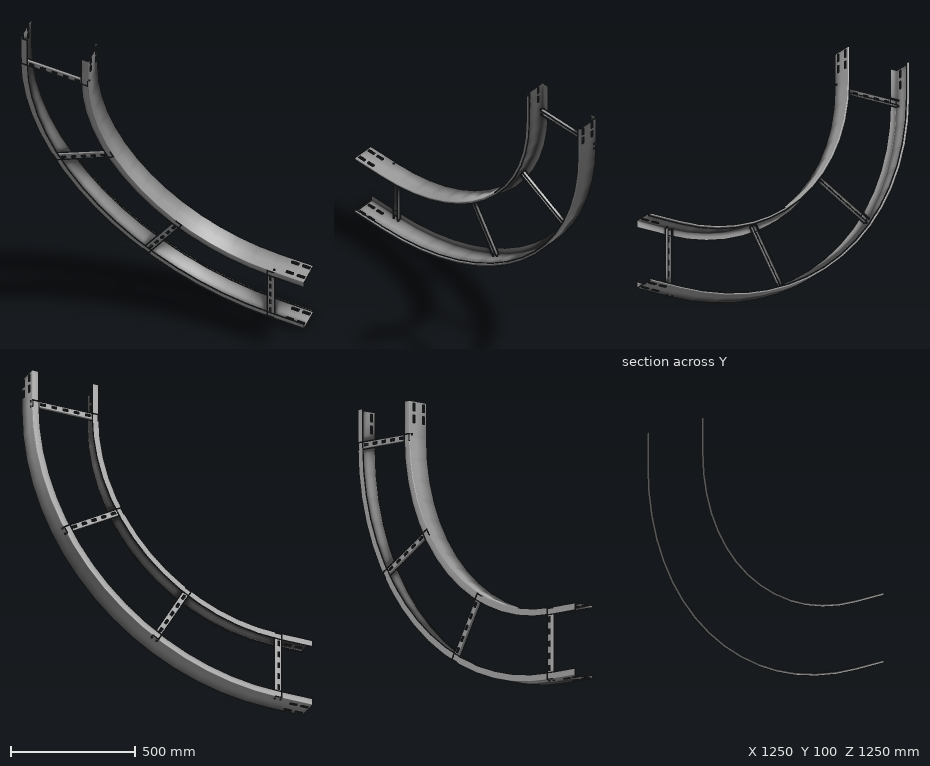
import cadquery as cq

OUTER_SIZE = 1250.0
TRAY_WIDTH = 300.0
RAIL_HEIGHT = 100.0
LEG_LENGTH = 150.0
SHEET = 1.5

FRONT_FLANGE = 31.0
REAR_FLANGE = 12.0
REAR_LIP = 10.0
RAIL_BEND = 4.0

SLOT_LENGTH = 30.0
SLOT_ENDS = (10.0, 59.0)
REAR_SLOT_WIDTH = 10.0
REAR_SLOT_INSET = 20.0
FRONT_SLOT_WIDTH = 9.0
FRONT_SLOT_INSET = 26.0

RUNG_COUNT = 4
RUNG_WIDTH = 30.0
RUNG_DEPTH = 15.0
RUNG_LIP = 6.0
RUNG_BEND = 2.0
RUNG_END_INSET = 5.0
RUNG_SLOT_COUNT = 5
RUNG_SLOT_PITCH = 50.0
RUNG_SLOT_LENGTH = 20.0
RUNG_SLOT_WIDTH = 8.0

HOLE_DIAMETER = 5.0
HOLE_SPACING = 25.0
HOLE_INSET = 14.0

BEND_CENTER = OUTER_SIZE - LEG_LENGTH
FRONT_Y = -RAIL_HEIGHT / 2
REAR_Y = RAIL_HEIGHT / 2
RUNG_FRONT_Y = FRONT_Y + SHEET
QUARTER_TURN = 90.0
AXIS_START = (BEND_CENTER, 0, BEND_CENTER)
AXIS_END = (BEND_CENTER, -12, BEND_CENTER)


def bent_sheet(outer_points, inner_points, bend):
    """Flat section of a bent sheet, from the corners along its outside and its inside."""
    outline = cq.Wire.makePolygon(
        [cq.Vector(*p) for p in outer_points + inner_points[::-1]], close=True
    )
    face = cq.Face.makeFromWires(outline)
    for corners, radius in ((outer_points, bend), (inner_points, bend - SHEET)):
        for corner in corners[1:-1]:
            at_corner = [
                v for v in face.Vertices() if (v.Center() - cq.Vector(*corner)).Length < SHEET / 4
            ]
            face = face.fillet2D(radius, at_corner)
    return face


def turned(shape, angle):
    return shape.rotate(AXIS_START, AXIS_END, angle)


def mirrored_leg(shape):
    """Swap X and Z, which carries the +Z leg onto the +X leg."""
    return shape.rotate((0, 0, 0), (1, 0, 1), 180).mirror("XZ")


def rail_section(web_x, inward):
    """Section where the +Z leg meets the bend; inward is the X direction into the tray."""

    def point(depth, y):
        return (web_x + inward * depth, y, BEND_CENTER)

    lip_y = REAR_Y - REAR_LIP
    outside = [
        point(FRONT_FLANGE, FRONT_Y),
        point(0, FRONT_Y),
        point(0, REAR_Y),
        point(REAR_FLANGE, REAR_Y),
        point(REAR_FLANGE, lip_y),
    ]
    inside = [
        point(FRONT_FLANGE, FRONT_Y + SHEET),
        point(SHEET, FRONT_Y + SHEET),
        point(SHEET, REAR_Y - SHEET),
        point(REAR_FLANGE - SHEET, REAR_Y - SHEET),
        point(REAR_FLANGE - SHEET, lip_y),
    ]
    return bent_sheet(outside, inside, RAIL_BEND)


def leg_slots(web_x):
    """Cutters for the four slots in the web of the +Z leg."""
    rows = (
        (FRONT_Y + FRONT_SLOT_INSET, FRONT_SLOT_WIDTH),
        (REAR_Y - REAR_SLOT_INSET, REAR_SLOT_WIDTH),
    )
    cutters = []
    for y, width in rows:
        for near_end in SLOT_ENDS:
            z = OUTER_SIZE - near_end - SLOT_LENGTH / 2
            slot = cq.Workplane("XY").box(4 * SHEET, width, SLOT_LENGTH)
            cutters.append(slot.translate((web_x, y, z)).val())
    return cutters


def fixing_hole(web_x, side, angle):
    """Cutter for one hole beside the rung at this angle; side +1 is above a rung at 0 degrees."""
    z = BEND_CENTER + side * HOLE_SPACING / 2
    hole = (
        cq.Workplane("YZ", origin=(web_x, FRONT_Y + HOLE_INSET, z))
        .circle(HOLE_DIAMETER / 2)
        .extrude(2 * SHEET, both=True)
    )
    return turned(hole.val(), angle)


def make_rail(web_x, inward, holes):
    section = rail_section(web_x, inward)
    leg = cq.Solid.extrudeLinear(section, cq.Vector(0, 0, LEG_LENGTH)).cut(*leg_slots(web_x))
    bend = cq.Solid.revolve(section, QUARTER_TURN, cq.Vector(*AXIS_START), cq.Vector(*AXIS_END))
    return bend.fuse(leg, mirrored_leg(leg)).cut(*holes).Solids()[0]


def make_rung(angle):
    """Lipped channel lying against the inside of the front flanges."""
    half = RUNG_WIDTH / 2
    rear_y = RUNG_FRONT_Y + RUNG_DEPTH
    start_x = RUNG_END_INSET

    def point(y, offset):
        return (start_x, y, BEND_CENTER + offset)

    lip_end = half - RUNG_LIP
    outside = [
        point(rear_y, -lip_end),
        point(rear_y, -half),
        point(RUNG_FRONT_Y, -half),
        point(RUNG_FRONT_Y, half),
        point(rear_y, half),
        point(rear_y, lip_end),
    ]
    inside = [
        point(rear_y - SHEET, -lip_end),
        point(rear_y - SHEET, -half + SHEET),
        point(RUNG_FRONT_Y + SHEET, -half + SHEET),
        point(RUNG_FRONT_Y + SHEET, half - SHEET),
        point(rear_y - SHEET, half - SHEET),
        point(rear_y - SHEET, lip_end),
    ]
    section = bent_sheet(outside, inside, RUNG_BEND)
    length = TRAY_WIDTH - 2 * RUNG_END_INSET
    channel = cq.Solid.extrudeLinear(section, cq.Vector(length, 0, 0))
    slots = (
        cq.Workplane("XZ", origin=(TRAY_WIDTH / 2, RUNG_FRONT_Y, BEND_CENTER))
        .rarray(RUNG_SLOT_PITCH, 12, RUNG_SLOT_COUNT, 1)
        .rect(RUNG_SLOT_LENGTH, RUNG_SLOT_WIDTH)
        .extrude(2 * SHEET, both=True)
    )
    return turned(channel.cut(*slots.vals()).Solids()[0], angle)


rung_angles = [step * QUARTER_TURN / (RUNG_COUNT - 1) for step in range(RUNG_COUNT)]
outer_holes = [fixing_hole(0, side, angle) for angle in rung_angles for side in (-1, 1)]
inner_holes = [
    fixing_hole(TRAY_WIDTH, 1, 0),
    fixing_hole(TRAY_WIDTH, -1, QUARTER_TURN),
]

outer_rail = make_rail(0, 1, outer_holes)
inner_rail = make_rail(TRAY_WIDTH, -1, inner_holes)
rungs = [make_rung(angle) for angle in rung_angles]

result = cq.Compound.makeCompound([outer_rail, inner_rail, *rungs])